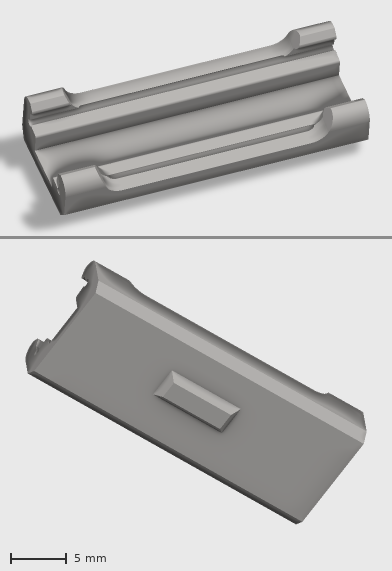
import cadquery as cq
import math

length = 28.87
tilt = 8.0
axis_x = -0.32

tip_bulge = 0.05
outer_width = 11.4
wall_outer = outer_width / 2
wall_inner = 4.0
hook_radius = 1.33
hook_center_along = 4.47
hook_top_across = 4.2
hook_tip_across = 3.6
hook_tip_upper = 5.28
hook_tip_lower = 4.85
hook_neck_along = 4.45

ledge_inner = 2.3
ledge_along = 3.2
ledge_rounding = 0.23
groove_radius = 0.38

floor_left_z = 1.45
floor_right_z = 1.4
left_corner_z = 1.47
right_corner_z = 0.95
left_bottom_x = -5.4
right_bottom_x = 4.53

relief_along = 3.38
relief_floor_length = 17.9
relief_radius = 1.73
relief_lean = 25.0
relief_top = 6.93

foot_x = -0.85
foot_y = 0.5
foot_height = 0.72
foot_top_width = 3.05
foot_top_length = 7.42
foot_taper = 0.64

tilt_sin = math.sin(math.radians(tilt))
tilt_cos = math.cos(math.radians(tilt))


def tilted(across, along):
    """Convert tilted-frame coordinates to X and Z."""
    x = axis_x + across * tilt_cos + along * tilt_sin
    z = along * tilt_cos - across * tilt_sin
    return x, z


def at_height(across, z):
    """Point at height z on the line parallel to the axis."""
    along = (z + across * tilt_sin) / tilt_cos
    return tilted(across, along)


def upper_side(side):
    """Solid wall, hook and ledge on one side (-1 left, +1 right), down to the underside."""
    def at(across, along):
        return tilted(side * across, along)

    diagonal = math.sqrt(0.5)
    hook_center = wall_outer - hook_radius
    hook_top_along = hook_center_along + math.sqrt(hook_radius**2 - (hook_top_across - hook_center) ** 2)
    hook_mid = at(hook_center + hook_radius * diagonal, hook_center_along + hook_radius * diagonal)
    tip_mid = at(hook_tip_across - tip_bulge, (hook_tip_upper + hook_tip_lower) / 2)
    groove_mid = at(wall_inner + groove_radius * diagonal, ledge_along - groove_radius * diagonal)
    corner_inset = ledge_rounding * (1 - diagonal)
    left_side = side < 0
    corner_z = left_corner_z if left_side else right_corner_z
    bottom_x = left_bottom_x if left_side else right_bottom_x
    floor_z = floor_left_z if left_side else floor_right_z
    inner_foot = at_height(side * ledge_inner, floor_z)

    outline = (
        cq.Workplane("XZ", origin=(0, length / 2, 0))
        .moveTo(bottom_x, 0)
        .lineTo(*at_height(side * wall_outer, corner_z))
        .lineTo(*at(wall_outer, hook_center_along))
        .threePointArc(hook_mid, at(hook_top_across, hook_top_along))
        .lineTo(*at(hook_tip_across, hook_tip_upper))
        .threePointArc(tip_mid, at(hook_tip_across, hook_tip_lower))
        .lineTo(*at(wall_inner, hook_neck_along))
        .lineTo(*at(wall_inner, ledge_along + groove_radius))
        .threePointArc(groove_mid, at(wall_inner - groove_radius, ledge_along))
        .lineTo(*at(ledge_inner + ledge_rounding, ledge_along))
        .threePointArc(
            at(ledge_inner + corner_inset, ledge_along - corner_inset),
            at(ledge_inner, ledge_along - ledge_rounding),
        )
        .lineTo(*inner_foot)
        .lineTo(inner_foot[0], 0)
        .close()
    )
    return outline.extrude(length)


def floor_web():
    """Web joining the two sides, with a slightly sloping floor."""
    left = at_height(-ledge_inner, floor_left_z)
    right = at_height(ledge_inner, floor_right_z)
    return (
        cq.Workplane("XZ", origin=(0, length / 2, 0))
        .polyline([(left[0], 0), left, right, (right[0], 0)])
        .close()
        .extrude(length)
    )


def relief_cutter():
    """Tilted cutter that lowers both walls between the end hooks."""
    lean = math.radians(relief_lean)
    half_floor = relief_floor_length / 2
    sweep = math.pi / 2 - lean

    def arc_point(angle):
        y = half_floor + relief_radius * math.sin(angle)
        along = relief_along + relief_radius * (1 - math.cos(angle))
        return y, along

    arc_mid = arc_point(sweep / 2)
    arc_end = arc_point(sweep)
    top_y = arc_end[0] + (relief_top - arc_end[1]) * math.tan(lean)
    cutter_width = 3 * wall_outer
    return (
        cq.Workplane("YZ", origin=(-cutter_width / 2, 0, 0))
        .moveTo(-half_floor, relief_along)
        .lineTo(half_floor, relief_along)
        .threePointArc(arc_mid, arc_end)
        .lineTo(top_y, relief_top)
        .lineTo(-top_y, relief_top)
        .lineTo(-arc_end[0], arc_end[1])
        .threePointArc((-arc_mid[0], arc_mid[1]), (-half_floor, relief_along))
        .close()
        .extrude(cutter_width)
        .rotate((0, 0, 0), (0, 1, 0), tilt)
        .translate((axis_x, 0, 0))
    )


def foot():
    """Tapered rectangular foot below the base."""
    return (
        cq.Workplane("XY", origin=(foot_x, foot_y, 0))
        .rect(foot_top_width, foot_top_length)
        .workplane(offset=-foot_height)
        .rect(foot_top_width - 2 * foot_taper, foot_top_length - 2 * foot_taper)
        .loft(combine=True)
    )


rail = floor_web().union(upper_side(-1)).union(upper_side(1))
result = rail.cut(relief_cutter()).union(foot())